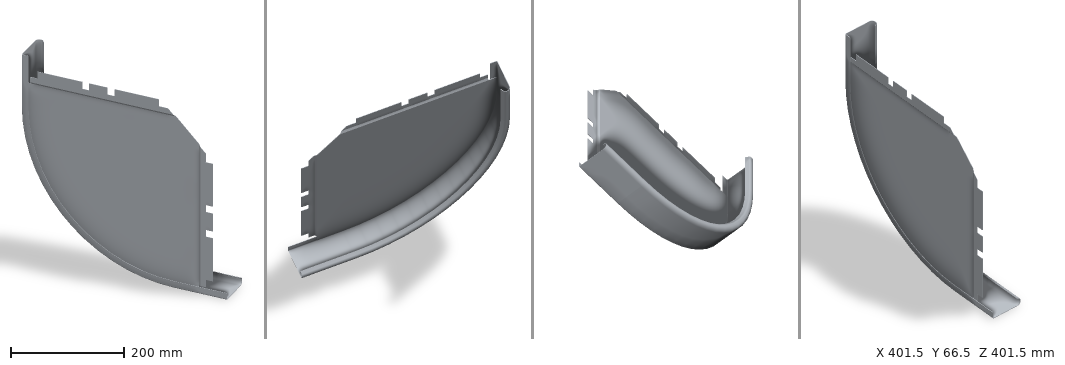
import cadquery as cq
import math

rail_length = 401.5
depth = 66.5
bend_radius = 298.0
sheet = 1.0

rail_front = 2.0
flange_width = 13.5
front_radius = 2.5
rear_radius = 8.0
lip_center = 10.0
lip_radius = 5.0
lip_angle = 60.0
lip_depth = 8.0

plate_front = rail_front + sheet
plate_inset = front_radius
step_start = 347.0
step_end = 351.0
shelf_end = 361.5
tab_end = 375.5
tab_strip_start = 17.5
tab_spans = [(32.5, 119.5), (133.3, 169.5), (183.5, 270.0)]
corner_sum = 649.0

diagonal_normal = (1, 0, -1)


def mirrored(body):
    """Copy a body across the diagonal plane x = z."""
    return body.mirror(diagonal_normal)


def corner_point(center, radius, degrees):
    """Point on a circle in the section plane."""
    angle = math.radians(degrees)
    return (center[0] + radius * math.cos(angle), center[1] + radius * math.sin(angle))


def rail_section():
    """Sheet section of the rail: x is the inset from the outer wall, y the depth."""
    front_center = (front_radius, rail_front + front_radius)
    rear_center = (rear_radius, depth - rear_radius)
    lip_bend = (lip_center, depth - lip_radius)
    lip_end_degrees = 90 - lip_angle
    lip_mid_degrees = 90 - lip_angle / 2
    lip_outer = corner_point(lip_bend, lip_radius, lip_end_degrees)
    lip_inner = corner_point(lip_bend, lip_radius - sheet, lip_end_degrees)
    turn = math.radians(lip_angle)
    lip_length = (lip_outer[1] - (depth - lip_depth)) / math.sin(turn)
    lip_run = (lip_length * math.cos(turn), -lip_length * math.sin(turn))
    return (
        cq.Workplane("XY", origin=(0, 0, bend_radius))
        .moveTo(flange_width, rail_front)
        .lineTo(front_radius, rail_front)
        .threePointArc(corner_point(front_center, front_radius, 225), (0, front_center[1]))
        .lineTo(0, rear_center[1])
        .threePointArc(corner_point(rear_center, rear_radius, 135), (rear_radius, depth))
        .lineTo(lip_center, depth)
        .threePointArc(corner_point(lip_bend, lip_radius, lip_mid_degrees), lip_outer)
        .lineTo(lip_outer[0] + lip_run[0], lip_outer[1] + lip_run[1])
        .lineTo(lip_inner[0] + lip_run[0], lip_inner[1] + lip_run[1])
        .lineTo(*lip_inner)
        .threePointArc(
            corner_point(lip_bend, lip_radius - sheet, lip_mid_degrees),
            (lip_center, depth - sheet),
        )
        .lineTo(rear_radius, depth - sheet)
        .threePointArc(
            corner_point(rear_center, rear_radius - sheet, 135), (sheet, rear_center[1])
        )
        .lineTo(sheet, front_center[1])
        .threePointArc(
            corner_point(front_center, front_radius - sheet, 225),
            (front_radius, rail_front + sheet),
        )
        .lineTo(flange_width, rail_front + sheet)
        .close()
    )


def make_rail():
    """Curved side rail: a quarter bend with a straight arm at each end."""
    arm = rail_section().extrude(rail_length - bend_radius)
    bend = rail_section().revolve(90, (bend_radius, 0, 0), (bend_radius, -1, 0))
    return bend.union(arm).union(mirrored(arm))


def make_panel():
    """Flat main area of the cover plate, with its rounded and cut corners."""
    arc_radius = bend_radius - plate_inset
    arc_middle = bend_radius - arc_radius * math.sqrt(0.5)
    corner = corner_sum - step_start
    return (
        cq.Workplane("XZ", origin=(0, plate_front, 0))
        .moveTo(plate_inset, step_start)
        .lineTo(plate_inset, bend_radius)
        .threePointArc((arc_middle, arc_middle), (bend_radius, plate_inset))
        .lineTo(step_start, plate_inset)
        .lineTo(step_start, corner)
        .lineTo(corner, step_start)
        .close()
        .extrude(-sheet)
    )


def make_tab_strip():
    """Strip along the top edge that steps forward and ends in tabs."""
    strip = (
        cq.Workplane("YZ", origin=(tab_strip_start, 0, 0))
        .moveTo(plate_front, step_start)
        .lineTo(0, step_end)
        .lineTo(0, tab_end)
        .lineTo(sheet, tab_end)
        .lineTo(sheet, step_end)
        .lineTo(plate_front + sheet, step_start)
        .close()
        .extrude(rail_length)
    )
    outline = cq.Workplane("XZ").moveTo(tab_strip_start, step_start).lineTo(tab_strip_start, shelf_end)
    for start, end in tab_spans:
        outline = (
            outline.lineTo(start, shelf_end)
            .lineTo(start, tab_end)
            .lineTo(end, tab_end)
            .lineTo(end, shelf_end)
        )
    outline = outline.lineTo(corner_sum - shelf_end, shelf_end).lineTo(corner_sum - step_start, step_start)
    return strip.intersect(outline.close().extrude(-depth))


def make_cover_plate():
    """Cover plate: the panel with one tab strip on each open side."""
    strip = make_tab_strip()
    return make_panel().union(strip).union(mirrored(strip))


rail = make_rail()
cover_plate = make_cover_plate()
result = cq.Compound.makeCompound([rail.solids().val(), cover_plate.solids().val()])